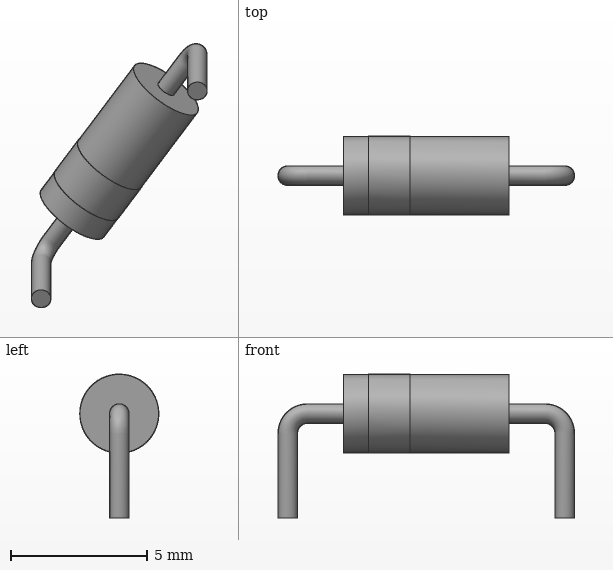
import cadquery as cq

overall_length = 10.88
overall_height = 5.29

body_length = 6.08
body_diameter = 2.88
band_diameter = 2.9
band_width = 1.51
band_offset = 0.92

lead_diameter = 0.72
bend_radius = lead_diameter

lead_reach = (overall_length - lead_diameter) / 2
lead_bottom = band_diameter / 2 - overall_height
body_start = -body_length / 2


def cylinder_along_x(start, length, diameter):
    return cq.Workplane("YZ", origin=(start, 0, 0)).circle(diameter / 2).extrude(length)


def bent_lead():
    """Continuous wire through the body, bent down at both ends."""
    bend_start = lead_reach - bend_radius
    path = (
        cq.Workplane("XZ")
        .moveTo(-lead_reach, lead_bottom)
        .lineTo(-lead_reach, -bend_radius)
        .tangentArcPoint((-bend_start, 0), relative=False)
        .lineTo(bend_start, 0)
        .tangentArcPoint((lead_reach, -bend_radius), relative=False)
        .lineTo(lead_reach, lead_bottom)
    )
    profile = cq.Workplane("XY", origin=(-lead_reach, 0, lead_bottom)).circle(lead_diameter / 2)
    return profile.sweep(path)


body = cylinder_along_x(body_start, body_length, body_diameter)
band = cylinder_along_x(body_start + band_offset, band_width, band_diameter)

result = body.union(band).union(bent_lead())